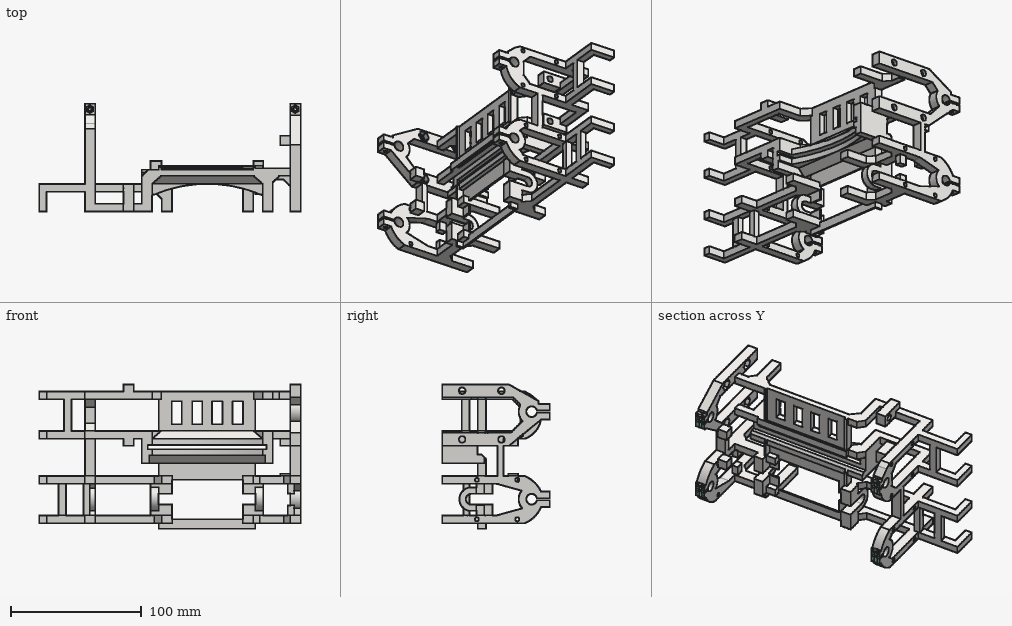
import cadquery as cq
WIDTH = 200.1
DEPTH = 82.37
HEIGHT = 110.5
EPS = 1.0

RAIL = 6.1
PAIR_PITCH = 30.1
LOW_BOTTOM = 4.3
HIGH_BOTTOM = 68.8
LOW_LEVELS = (LOW_BOTTOM, LOW_BOTTOM + PAIR_PITCH)
HIGH_LEVELS = (HIGH_BOTTOM, HIGH_BOTTOM + PAIR_PITCH)
LOW_TOP = LOW_LEVELS[1] + RAIL
HIGH_TOP = HIGH_LEVELS[1] + RAIL
PAIR_MIDDLE = (PAIR_PITCH + RAIL) / 2
LOW_GAP = (LOW_BOTTOM + RAIL, LOW_LEVELS[1])
HIGH_GAP = (HIGH_BOTTOM + RAIL, HIGH_LEVELS[1])

LEFT_ARM = (35.0, 43.0)
RIGHT_ARM = (191.9, WIDTH)
THICK = 10.0
THICK_BOTTOM = 63.4
THICK_SPANS = ((THICK_BOTTOM, THICK_BOTTOM + THICK), (HEIGHT - THICK, HEIGHT))
FOOT = 5.7
SIDE_RAIL_Y = 15.0

GUARD_LEFT = (78.4, 86.3)
GUARD_RIGHT = (170.9, 178.7)
GUARD_BOTTOM = 50.1
WALL_Y = 27.2
PLATE_X = (91.3, 165.3)
PLATE_BACK = 33.7
RECESS_X = (93.6, 163.7)
RECESS_Y = 32.0
LEFT_LEG = (93.6, 101.7)
RIGHT_LEG = (155.7, 163.7)
OPENING_Z = (7.4, 37.5)
LOW_BAR_Y = 24.3
BAR_BACK = 33.1
CORNER = 5.0
CORNER_LARGE = 7.0


def box(x, y, z):
    """Block spanning the given (start, end) ranges."""
    return (
        cq.Workplane("XY")
        .box(x[1] - x[0], y[1] - y[0], z[1] - z[0], centered=False)
        .translate((x[0], y[0], z[0]))
    )


def plan(points, z):
    """Plan outline extruded between two heights."""
    return cq.Workplane("XY").workplane(offset=z[0]).polyline(points).close().extrude(z[1] - z[0])


def side(points, x):
    """Outline in the YZ plane extruded between two X positions."""
    return cq.Workplane("YZ").workplane(offset=x[0]).polyline(points).close().extrude(x[1] - x[0])


def rod(y, z, radius, x):
    """Cylinder along X."""
    return (
        cq.Workplane("YZ").workplane(offset=x[0]).center(y, z).circle(radius).extrude(x[1] - x[0])
    )


def union(shapes):
    body = shapes[0]
    for shape in shapes[1:]:
        body = body.union(shape)
    return body


SHOULDER_Y = 63.2
NECK_Y = 75.7
HEAD_MID_Y = 71.0
HEAD_MID_DROP = 5.3
BORE_Y = 68.4
BORE_RADIUS = 4.0
SLOPE_END_Y = 73.6
SLOPE_DROP = 12.9
HUB_RADIUS = 10.0
TAB_HALF = 6.0
SLOT_HALF = 0.7
LOW_BORE_RAISE = 0.3
HIGH_BORE_RAISE = 2.7
LOW_BORE_Z = LOW_BOTTOM + PAIR_MIDDLE + LOW_BORE_RAISE
HIGH_BORE_Z = HIGH_BOTTOM + PAIR_MIDDLE + HIGH_BORE_RAISE
CLAMP_SCREW_Y = 78.2
CLAMP_SCREW_OFFSET = 3.8
CLAMP_SCREW_RADIUS = 1.3
NUT_SIZE = 6.0
NUT_DEPTH = 2.5
PIN_RADIUS = 1.5
PIN_PITCH = 30.8


def rounded_head(z, bore_z, facets=()):
    """Outline of an arm pair with a rounded head; facets, if any, replace the upper rounding.

    facets lists (Y, drop below the top) going up from the tab.
    """
    top = bore_z + TAB_HALF
    outline = (
        cq.Workplane("YZ")
        .moveTo(0, z[0])
        .lineTo(SHOULDER_Y, z[0])
        .threePointArc((HEAD_MID_Y, z[0] + HEAD_MID_DROP), (NECK_Y, bore_z - TAB_HALF))
        .lineTo(DEPTH, bore_z - TAB_HALF)
        .lineTo(DEPTH, top)
    )
    if facets:
        outline = outline.lineTo(facets[0][0], top)
        for y, drop in facets:
            outline = outline.lineTo(y, z[1] - drop)
        outline = outline.lineTo(SHOULDER_Y, z[1])
    else:
        outline = outline.lineTo(NECK_Y, top)
        outline = outline.threePointArc((HEAD_MID_Y, z[1] - HEAD_MID_DROP), (SHOULDER_Y, z[1]))
    return outline.lineTo(0, z[1]).close()


def sloped_head(z, bore_z, slope_start):
    """Outline of an arm pair whose head narrows along straight slopes."""
    return (
        cq.Workplane("YZ")
        .polyline([
            (0, z[0]),
            (slope_start, z[0]),
            (NECK_Y, bore_z - TAB_HALF),
            (DEPTH, bore_z - TAB_HALF),
            (DEPTH, bore_z + TAB_HALF),
            (SLOPE_END_Y, bore_z + TAB_HALF),
            (SLOPE_END_Y, z[1] - SLOPE_DROP),
            (slope_start, z[1]),
            (0, z[1]),
        ])
        .close()
    )


def clamp_arm(outline, x, gap, bore_z, gap_taper, hub):
    """Two arms joined by a split clamp; gap_taper shapes the end of the gap.

    gap_taper holds, for the lower and the upper side, (start Y, end Y, rise) of the tapering.
    """
    (low_start, low_end, low_rise), (high_start, high_end, high_rise) = gap_taper
    arm = outline.extrude(x[1] - x[0]).translate((x[0], 0, 0))
    opening = [
        (-EPS, gap[0]),
        (low_start, gap[0]),
        (low_end, gap[0] + low_rise),
        (high_end, gap[1] - high_rise),
        (high_start, gap[1]),
        (-EPS, gap[1]),
    ]
    opening = side(opening, x)
    if hub:
        opening = opening.cut(rod(BORE_Y, bore_z, HUB_RADIUS, x))
    arm = arm.cut(opening)
    arm = arm.cut(rod(BORE_Y, bore_z, BORE_RADIUS, x))
    arm = arm.cut(box(x, (BORE_Y, DEPTH + EPS), (bore_z - SLOT_HALF, bore_z + SLOT_HALF)))

    top = bore_z + TAB_HALF
    screw = cq.Workplane("XY", origin=(x[0] + CLAMP_SCREW_OFFSET, CLAMP_SCREW_Y, top))
    screw_hole = screw.circle(CLAMP_SCREW_RADIUS).extrude(-2 * TAB_HALF)
    nut_trap = screw.transformed(rotate=(0, 0, 90)).polygon(6, NUT_SIZE).extrude(-NUT_DEPTH)
    return arm.cut(screw_hole).cut(nut_trap)


def pin_holes(arm, x, levels, last_y):
    """Pin holes across the arm, two at each rail level."""
    for level in levels:
        for y in (last_y - PIN_PITCH, last_y):
            arm = arm.cut(rod(y, level + RAIL / 2, PIN_RADIUS, x))
    return arm


LOW_SPAN = (LOW_BOTTOM, LOW_TOP)
HIGH_SPAN = (HIGH_BOTTOM, HIGH_TOP)
TALL_SPAN = (THICK_BOTTOM, HEIGHT)
TALL_GAP = (THICK_SPANS[0][1], THICK_SPANS[1][0])
LOW_TAPER = ((59.7, 63.4, 3.6),) * 2
LOW_RIGHT_TAPER = ((41.6, 63.4, 6.0),) * 2
HIGH_TAPER = ((53.7, 59.7, 6.0),) * 2
TALL_TAPER = ((52.5, 61.5, 9.0), (54.3, 59.8, 5.5))
HIGH_FACETS = ((73.9, 7.6), (67.6, 2.4))
LOW_PIN_Y = 57.4
HIGH_PIN_Y = 60.4
SLOPE_START_Y = 51.0
WEB_Y = (42.2, 47.0)
SCREW_Y = (15.3, 45.3)
SCREW_RADIUS = 2.5
SCREW_NUT_SIZE = 9.2
SCREW_NUT_DEPTH = 5.0
SCREW_Z = [sum(span) / 2 for span in THICK_SPANS]


def left_arms():
    low = clamp_arm(rounded_head(LOW_SPAN, LOW_BORE_Z), LEFT_ARM, LOW_GAP, LOW_BORE_Z, LOW_TAPER, True)
    high = clamp_arm(
        rounded_head(HIGH_SPAN, HIGH_BORE_Z, HIGH_FACETS),
        LEFT_ARM, HIGH_GAP, HIGH_BORE_Z, HIGH_TAPER, False,
    )
    low = pin_holes(low, LEFT_ARM, LOW_LEVELS, LOW_PIN_Y)
    high = pin_holes(high, LEFT_ARM, HIGH_LEVELS, HIGH_PIN_Y)
    return union([low, high, box(LEFT_ARM, WEB_Y, (LOW_TOP, HIGH_BOTTOM))])


def right_arms():
    low = clamp_arm(
        rounded_head(LOW_SPAN, LOW_BORE_Z), RIGHT_ARM, LOW_GAP, LOW_BORE_Z, LOW_RIGHT_TAPER, True
    )
    low = pin_holes(low, RIGHT_ARM, LOW_LEVELS, LOW_PIN_Y)
    high = clamp_arm(
        sloped_head(TALL_SPAN, HIGH_BORE_Z, SLOPE_START_Y),
        RIGHT_ARM, TALL_GAP, HIGH_BORE_Z, TALL_TAPER, True,
    )
    for z in SCREW_Z:
        for y in SCREW_Y:
            high = high.cut(rod(y, z, SCREW_RADIUS, RIGHT_ARM))
            trap = cq.Workplane("YZ", origin=(RIGHT_ARM[0], y, z)).polygon(6, SCREW_NUT_SIZE)
            high = high.cut(trap.extrude(SCREW_NUT_DEPTH))
    return union([low, high, box(RIGHT_ARM, WEB_Y, (LOW_TOP, TALL_SPAN[0]))])


TAB_SIZE = 7.8
TAB_Y = (50.5, 58.0)
STUB_X = (189.9, 194.8)
STUB_Y = 26.1
STUB_HEIGHT = 7.5


def right_arm_tabs():
    tab_x = (RIGHT_ARM[0] - TAB_SIZE, RIGHT_ARM[0])
    stub_y = (STUB_Y, STUB_Y + RAIL)
    return [
        box(tab_x, TAB_Y, (LOW_LEVELS[1], LOW_LEVELS[1] + TAB_SIZE)),
        box(tab_x, TAB_Y, (TALL_SPAN[0], TALL_SPAN[0] + TAB_SIZE)),
        box(STUB_X, stub_y, (LOW_GAP[0], LOW_GAP[0] + STUB_HEIGHT)),
        box(STUB_X, stub_y, (LOW_GAP[1] - STUB_HEIGHT, LOW_GAP[1])),
    ]


HIGH_POST_X = (19.0, 24.9)
LOW_POSTS_X = ((14.7, 20.6), (33.8, 38.8))
LOW_POST_Y = 16.2
BRACKET_X = (64.5, 72.5)


def left_frame():
    rail_y = (SIDE_RAIL_Y, SIDE_RAIL_Y + RAIL)
    parts = []
    for level in LOW_LEVELS + HIGH_LEVELS:
        z = (level, level + RAIL)
        parts.append(box((0, FOOT), (0, rail_y[1]), z))
        parts.append(box((0, LEFT_ARM[0]), rail_y, z))
    for x in LOW_POSTS_X:
        parts.append(box(x, (LOW_POST_Y, rail_y[1]), LOW_GAP))
    parts.append(box(HIGH_POST_X, rail_y, HIGH_GAP))
    return parts


def brackets():
    """Drilled blocks standing on the upper rails."""
    parts = []
    for z, hole_z in zip(THICK_SPANS, SCREW_Z):
        block = box(BRACKET_X, (0, SIDE_RAIL_Y + RAIL), z)
        parts.append(block.cut(rod(SCREW_Y[0], hole_z, SCREW_RADIUS, BRACKET_X)))
    return parts


def upper_frame(level, chamfer):
    """Stepped rail from the left arm to the right arm; chamfer is that of the right leg's corner."""
    outer, inner = GUARD_LEFT
    left_in, right_out = GUARD_RIGHT
    outline = [
        (LEFT_ARM[1], 0),
        (inner, 0),
        (inner, WALL_Y - RAIL),
        (inner + CORNER_LARGE, WALL_Y),
        (left_in - CORNER_LARGE, WALL_Y),
        (left_in, WALL_Y - RAIL),
        (left_in, 0),
        (right_out, 0),
    ]
    if chamfer:
        outline += [(right_out, WALL_Y - chamfer), (right_out + chamfer, WALL_Y)]
    else:
        outline += [(right_out, WALL_Y)]
    outline += [
        (RIGHT_ARM[0], WALL_Y),
        (RIGHT_ARM[0], BAR_BACK),
        (RECESS_X[1], BAR_BACK),
        (RECESS_X[1], RECESS_Y),
        (outer + CORNER, RECESS_Y),
        (outer, RECESS_Y - CORNER),
        (outer, RAIL),
        (LEFT_ARM[1], RAIL),
    ]
    return plan(outline, (level, level + RAIL))


ARC_END_Y = 12.3
SLIT_X = (83.2, 173.6)
SLIT_Z = (60.9, 64.1)
NOTCH_X = (84.2, 172.8)
LIP_BACK = 32.1
LIP_TOP = 56.9
LIP_SLOPE_Y = 30.1


def lip_slab(back, bottom, x):
    """Slab behind the wall whose upper back edge is bevelled at 45 degrees."""
    outline = [
        (WALL_Y, bottom),
        (back, bottom),
        (back, LIP_TOP - (back - LIP_SLOPE_Y)),
        (LIP_SLOPE_Y, LIP_TOP),
        (WALL_Y, LIP_TOP),
    ]
    return side(outline, x)


def guard():
    """Side walls, arched shield with a sloped crown and a slit, and the lip behind them."""
    inner = (GUARD_LEFT[1], GUARD_RIGHT[0])
    middle = sum(inner) / 2
    ledge_y = WALL_Y - RAIL
    walls = union([
        box(x, (0, WALL_Y), (GUARD_BOTTOM, HIGH_BOTTOM)) for x in (GUARD_LEFT, GUARD_RIGHT)
    ])
    shield = (
        cq.Workplane("XY")
        .workplane(offset=GUARD_BOTTOM)
        .moveTo(inner[0], ARC_END_Y)
        .threePointArc((middle, ledge_y), (inner[1], ARC_END_Y))
        .lineTo(inner[1], WALL_Y)
        .lineTo(inner[0], WALL_Y)
        .close()
        .extrude(HIGH_BOTTOM - GUARD_BOTTOM)
    )
    crown = side(
        [(ledge_y, HIGH_BOTTOM), (WALL_Y, HIGH_BOTTOM + RAIL), (WALL_Y, HIGH_BOTTOM)], inner
    )
    notch = side(
        [
            (-EPS, GUARD_BOTTOM - EPS),
            (-EPS, GUARD_BOTTOM + RAIL),
            (ledge_y, GUARD_BOTTOM + RAIL),
            (WALL_Y, GUARD_BOTTOM),
            (WALL_Y, GUARD_BOTTOM - EPS),
        ],
        NOTCH_X,
    )
    slit = box(SLIT_X, (-EPS, WALL_Y + EPS), SLIT_Z)
    lip = lip_slab(LIP_BACK, GUARD_BOTTOM, (GUARD_LEFT[0], GUARD_RIGHT[1]))
    return [walls.union(shield).union(crown).cut(notch).cut(slit), lip]


WINDOW_X = ((101.5, 108.9), (117.2, 124.5), (132.3, 140.1), (147.9, 155.7))
WINDOW_Z = (80.0, 97.5)
LOW_PLATE_THICKNESS = 1.2
STRIP_BACK = 34.9


def plate():
    """Windowed upper plate and thin lower plate, both with flanges along their sides."""
    upper = box(PLATE_X, (WALL_Y, PLATE_BACK), (HIGH_BOTTOM, HIGH_TOP))
    upper = upper.cut(box(RECESS_X, (RECESS_Y, PLATE_BACK), (HIGH_BOTTOM, HIGH_TOP)))
    for x in WINDOW_X:
        upper = upper.cut(box(x, (WALL_Y, PLATE_BACK), WINDOW_Z))

    lower = lip_slab(PLATE_BACK, 0, PLATE_X)
    lower = lower.cut(box(RECESS_X, (WALL_Y + LOW_PLATE_THICKNESS, PLATE_BACK), (0, LIP_TOP)))
    lower = lower.cut(box((LEFT_LEG[1], RIGHT_LEG[0]), (WALL_Y, PLATE_BACK), OPENING_Z))

    strip = box(
        (PLATE_X[0], GUARD_RIGHT[0]), (BAR_BACK, STRIP_BACK), (HIGH_BOTTOM, HIGH_BOTTOM + RAIL)
    )
    return [upper, lower, strip]


LEFT_BEARING = (85.0, PLATE_X[0])
RIGHT_BEARING = (PLATE_X[1], 171.4)
BEARING_Y = 22.1
BEARING_Z = LOW_BORE_Z
BEARING_RADIUS = 9.0
BEARING_SLOT = 8.0
BEARING_BLOCK_Y = (WALL_Y, 38.6)
LEFT_LEG_CHAMFER = 5.4


def lower_frame(level):
    z = (level, level + RAIL)
    left = plan(
        [
            (LEFT_ARM[1], SIDE_RAIL_Y),
            (LEFT_LEG[0] - LEFT_LEG_CHAMFER, SIDE_RAIL_Y),
            (LEFT_LEG[0], SIDE_RAIL_Y - LEFT_LEG_CHAMFER),
            (LEFT_LEG[0], 0),
            (LEFT_LEG[1], 0),
            (LEFT_LEG[1], WALL_Y),
            (PLATE_X[0], WALL_Y),
            (PLATE_X[0], LOW_BAR_Y + RAIL),
            (GUARD_LEFT[1], LOW_BAR_Y + RAIL),
            (GUARD_LEFT[1], SIDE_RAIL_Y + RAIL + CORNER),
            (GUARD_LEFT[1] - CORNER, SIDE_RAIL_Y + RAIL),
            (LEFT_ARM[1], SIDE_RAIL_Y + RAIL),
        ],
        z,
    )
    right = plan(
        [
            (RIGHT_LEG[0], 0),
            (RIGHT_LEG[1], 0),
            (RIGHT_LEG[1], LOW_BAR_Y - CORNER),
            (RIGHT_LEG[1] + CORNER, LOW_BAR_Y),
            (RIGHT_ARM[0] - CORNER, LOW_BAR_Y),
            (RIGHT_ARM[0], LOW_BAR_Y - CORNER),
            (RIGHT_ARM[0], BAR_BACK),
            (RIGHT_LEG[0], BAR_BACK),
        ],
        z,
    )
    return [left, right]


def bearing(cheek_x, block_x):
    """Round-nosed cheek with a slot open to the back, on a block between the lower frames."""
    nose = rod(BEARING_Y, BEARING_Z, BEARING_RADIUS, cheek_x)
    neck = box(
        cheek_x,
        (BEARING_Y, BEARING_BLOCK_Y[0]),
        (BEARING_Z - BEARING_RADIUS, BEARING_Z + BEARING_RADIUS),
    )
    return union([nose, neck, box(block_x, BEARING_BLOCK_Y, LOW_SPAN)])


def bearing_slot():
    """Round-ended slot through both bearings and the plate between them."""
    x = (LEFT_BEARING[0], RIGHT_BEARING[1])
    half = BEARING_SLOT / 2
    slot = box(x, (BEARING_Y, BEARING_BLOCK_Y[1]), (BEARING_Z - half, BEARING_Z + half))
    return slot.union(rod(BEARING_Y, BEARING_Z, half, x))


def lower_section():
    parts = [frame for level in LOW_LEVELS for frame in lower_frame(level)]
    parts.append(bearing(LEFT_BEARING, (LEFT_BEARING[0], RECESS_X[0])))
    parts.append(bearing(RIGHT_BEARING, (RECESS_X[1], RIGHT_BEARING[1])))
    return parts


middle_section = union(plate() + lower_section()).cut(bearing_slot())
result = union(
    [left_arms(), right_arms(), middle_section]
    + right_arm_tabs()
    + left_frame()
    + brackets()
    + [upper_frame(HIGH_LEVELS[0], 0), upper_frame(HIGH_LEVELS[1], CORNER)]
    + guard()
)